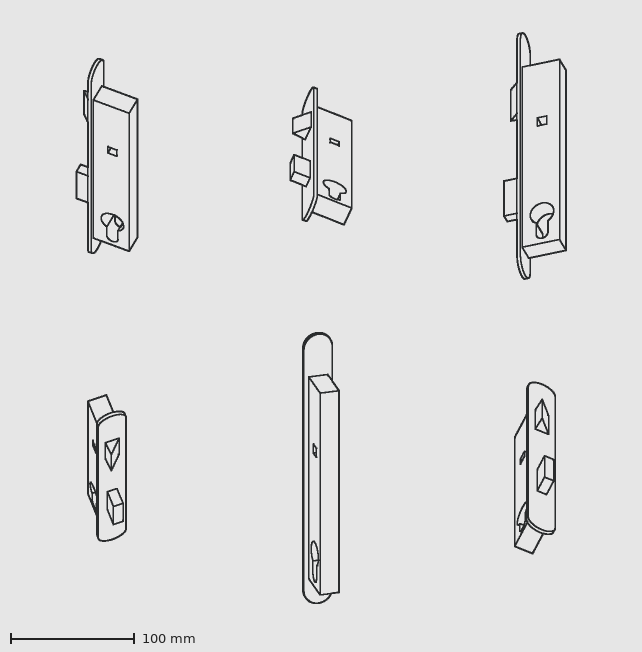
import cadquery as cq


plate_length = 240.0
plate_width = 24.0
plate_thickness = 3.0

case_depth = 32.0
case_width = 16.0
case_height = 180.0
case_top = 83.0
case_center_z = case_top - case_height / 2

latch_projection = 11.5
latch_width = 12.0
latch_height = 31.0
latch_center_z = 57.0
latch_back_taper = 1.0

bolt_projection = 14.0
bolt_width = 8.2
bolt_height = 35.0
bolt_center_z = -41.5

backset = 20.0
spindle_size = 8.0
spindle_center_z = 25.0
spindle_to_cylinder = 92.0
cylinder_center_z = spindle_center_z - spindle_to_cylinder
cylinder_radius = 10.0
cylinder_slot_width = 10.0
cylinder_slot_drop = 20.0


def make_faceplate():
    """Plate with full-radius ends."""
    return (
        cq.Workplane("YZ")
        .slot2D(plate_length, plate_width, 90)
        .extrude(plate_thickness)
    )


def make_case():
    return (
        cq.Workplane("XY")
        .box(case_depth, case_width, case_height)
        .translate((plate_thickness + case_depth / 2, 0, case_center_z))
    )


def make_latch():
    """Wedge bevelled on the -Y side, with a slightly tapered +Y flank."""
    half_width = latch_width / 2
    return (
        cq.Workplane("XY", origin=(0, 0, latch_center_z))
        .polyline([
            (0, -half_width),
            (0, half_width),
            (-latch_projection, half_width - latch_back_taper),
        ])
        .close()
        .extrude(latch_height / 2, both=True)
    )


def make_deadbolt():
    return (
        cq.Workplane("XY")
        .box(bolt_projection, bolt_width, bolt_height)
        .translate((-bolt_projection / 2, 0, bolt_center_z))
    )


def make_spindle_hole():
    return (
        cq.Workplane("XY")
        .box(spindle_size, case_width, spindle_size)
        .translate((backset, 0, spindle_center_z))
    )


def make_cylinder_hole():
    """Round bore joined to a round-ended slot below it."""
    center_plane = cq.Workplane("XZ", origin=(backset, 0, cylinder_center_z))
    half_case = case_width / 2
    bore = center_plane.circle(cylinder_radius).extrude(half_case, both=True)
    slot = (
        center_plane.center(0, -cylinder_slot_drop / 2)
        .slot2D(cylinder_slot_drop + cylinder_slot_width, cylinder_slot_width, 90)
        .extrude(half_case, both=True)
    )
    return bore.union(slot)


result = (
    make_faceplate()
    .union(make_case())
    .union(make_latch())
    .union(make_deadbolt())
    .cut(make_spindle_hole())
    .cut(make_cylinder_hole())
)